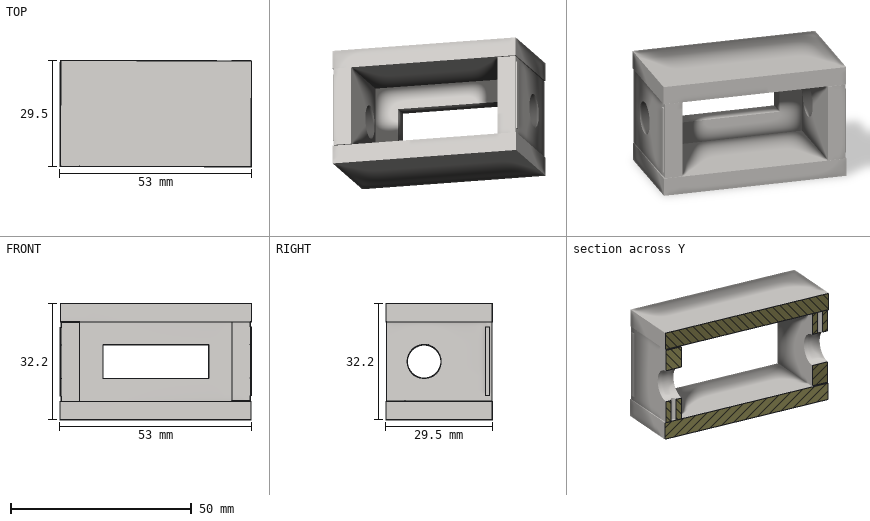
import cadquery as cq

board = 5.1
inner_height = 22.0
plate_length = 52.8
plate_width = 29.3
plate_twist = -0.18
plate_shift = 0.05

front_length = 42.1
window_length = 29.15
window_height = 9.3

end_width = 29.25
end_gap = 0.15
bore_diameter = 9.3
bore_from_front = 10.45
screw_diameter = 1.5
screw_offset = 0.4
ridge_width = 1.15
ridge_height = 19.0
ridge_projection = 0.3
ridge_from_back = 0.75

front_y = -end_width / 2
back_y = end_width / 2
end_height = inner_height - end_gap


def make_plate(side):
    """Plain plate above (side = 1) or below (side = -1) the upright boards."""
    center_z = side * (inner_height + board) / 2
    return (
        cq.Workplane("XY")
        .box(plate_length, plate_width, board)
        .rotate((0, 0, 0), (0, 0, 1), plate_twist)
        .translate((side * plate_shift, 0, center_z))
    )


def make_front_board():
    """Upright board with the window cut through its thickness."""
    blank = cq.Workplane("XY").box(front_length, board, inner_height)
    window = cq.Workplane("XY").box(window_length, board, window_height)
    return blank.cut(window).translate((0, front_y + board / 2, 0))


def make_left_end():
    """End board resting on the bottom plate, with bore, screw hole and outer ridge."""
    center_x = -(front_length + board) / 2
    center_z = -end_gap / 2
    outer_x = center_x - board / 2
    bore_y = front_y + bore_from_front

    end = cq.Workplane("XY").box(board, end_width, end_height).translate((center_x, 0, center_z))

    ridge = (
        cq.Workplane("XY")
        .box(ridge_projection, ridge_width, ridge_height)
        .translate((outer_x - ridge_projection / 2, back_y - ridge_from_back - ridge_width / 2, center_z))
    )

    bore = (
        cq.Workplane("YZ", origin=(outer_x, bore_y, center_z))
        .circle(bore_diameter / 2)
        .extrude(board)
    )

    screw_hole = (
        cq.Workplane("XY", origin=(center_x, bore_y + screw_offset, -inner_height / 2))
        .circle(screw_diameter / 2)
        .extrude(inner_height / 2)
    )
    return end.union(ridge).cut(bore).cut(screw_hole)


plates = [make_plate(side) for side in (-1, 1)]
front_board = make_front_board()

ends = [make_left_end().rotate((0, 0, 0), (0, 1, 0), turn) for turn in (0, 180)]

result = cq.Compound.makeCompound([body.val() for body in [*plates, front_board, *ends]])